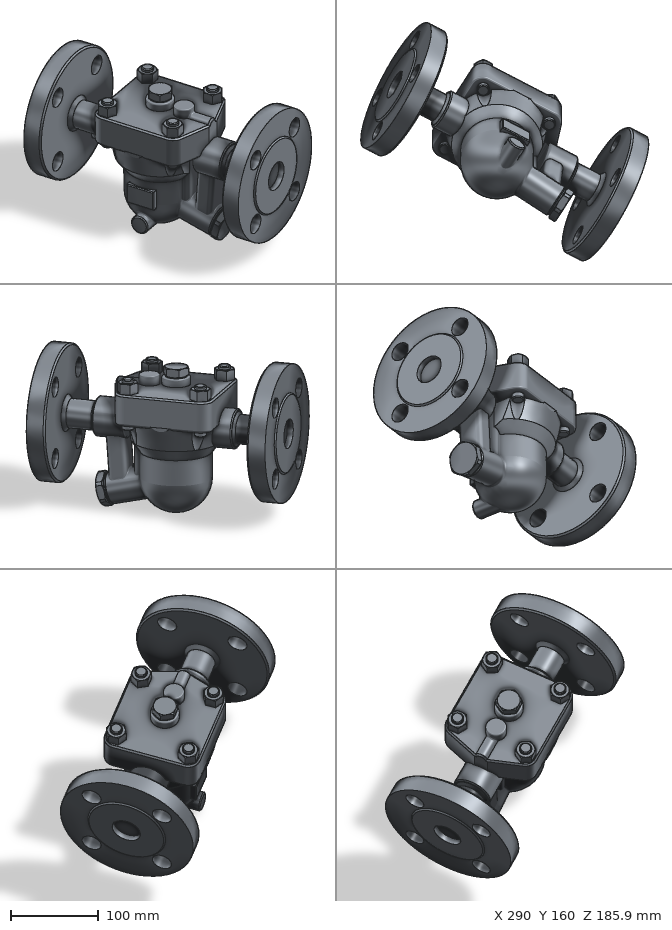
import cadquery as cq
import math


half_length = 145.0
raised_face_height = 1.7
raised_face_radius = 45.0
raised_face_base_radius = 46.7
flange_radius = 160.0 / 2
flange_inner_x = 121.0
flange_chamfer = 2.0
bolt_hole_diameter = 23.0
bolt_hole_offset = 42.3
bore_depth = 7.2

pipe_radius = 34.0 / 2
neck_radius = 21.5
neck_length = 4.4
socket_radius = 46.0 / 2
socket_end_x = 83.8
socket_chamfer = 1.5
weld_radius = 20.3
weld_length = 3.0
outlet_start_x = 46.5
outlet_round = 3.0
web_radius = 5.2
web_half_width = 19.7

axis_x = -10.2
cover_half_width = 57.5
cover_left_x = axis_x - 58.0
cover_right_x = 60.3
cover_nose_half_width = 8.5
cover_shoulder_x = 43.8
cover_corner_radius = 14.5
cover_bottom_z = 7.5
cover_top_z = 44.7
cover_top_chamfer = 2.0
cover_bottom_round = 3.0

vessel_radius = 41.5
vessel_equator_z = -63.0
cone_bottom_z = -32.5
rim_z = -18.5
rim_radius = 52.0
bowl_top_radius = 58.5
bowl_top_z = 10.2
bowl_right_x = 36.0

stud_offset = 43.5
stud_diameter = 14.0
stud_bottom_z = 1.0
stud_top_z = 61.0
stud_chamfer = 1.2
nut_width = 21.0
nut_top_z = 57.0
stud_relief_diameter = 19.7

boss_x = 21.8
boss_diameter = 24.0
boss_top_z = 56.3
boss_round = 2.0
rib_radius = 8.0
rib_top_z = 49.3
rib_chamfer = 2.0
boss_fillet = 2.5

pad_width = 36.0
pad_top_z = -42.5
pad_bottom_z = -66.7
pad_face_y = -44.0
pad_chamfer = 1.2
drain_diameter = 22.0
drain_z = -90.8
drain_face_y = -45.8
drain_chamfer = 1.5
drain_fillet = 2.5

barrel_start_z = -64.0
barrel_tilt = 14.0
barrel_diameter = 38.0
barrel_length = 81.0
cap_neck_diameter = 34.0
cap_neck_length = 1.7
cap_width = 37.5
cap_corner_diameter = 41.0
cap_thickness = 9.3
barrel_fillet = 3.5
barrel_chamfer = 1.5

leg_width = 23.0
leg_depth = 30.7
side_rib_depth = 29.0
side_rib_right_x = 36.8
rib_fillet = 1.7
leg_fillet = 2.0
leg_corner_radius = 6.0
leg_middle_x = 57.0
leg_middle_z = -44.0
leg_length = 68.5
leg_tilt = 4.0
side_rib_bottom_z = -63.8

collar_diameter = 33.0
collar_bottom_z = 47.0
collar_top_z = 56.3
collar_round = 2.0
plug_neck_diameter = 25.0
plug_hex_bottom_z = 57.5
plug_hex_top_z = 67.5
plug_hex_width = 26.0

chamfer_slope = math.tan(math.radians(30))


def upright_cylinder(x, y, bottom, top, diameter):
    """Vertical cylinder between two heights."""
    return cq.Workplane("XY", origin=(x, y, bottom)).circle(diameter / 2).extrude(top - bottom)


def hexagon(width, height, chamfer_bottom):
    """Hexagonal prism on Z = 0 with corners on X and turned 30 degree chamfers on its corners."""
    corner_radius = width / math.sqrt(3)
    drop = (corner_radius - width / 2) * chamfer_slope
    base = [(0, 0), (width / 2, 0), (corner_radius, drop)] if chamfer_bottom else [(0, 0), (corner_radius, 0)]
    outline = base + [(corner_radius, height - drop), (width / 2, height), (0, height)]
    envelope = cq.Workplane("XZ").polyline(outline).close().revolve(360, (0, 0), (0, 1))
    return cq.Workplane("XY").polygon(6, 2 * corner_radius).extrude(height).intersect(envelope)


def make_pipe_end():
    """Pipe, weld and flange at the -X end, with a blind bore and four bolt holes."""
    flange_outer_x = half_length - raised_face_height
    outline = [
        (-outlet_start_x, 0),
        (-half_length, 0),
        (-half_length, raised_face_radius),
        (-flange_outer_x, raised_face_base_radius),
        (-flange_outer_x, flange_radius),
        (-flange_inner_x - flange_chamfer, flange_radius),
        (-flange_inner_x, flange_radius - flange_chamfer),
        (-flange_inner_x, neck_radius),
        (-flange_inner_x + neck_length, pipe_radius),
        (-socket_end_x - weld_length, pipe_radius),
        (-socket_end_x, weld_radius),
        (-socket_end_x, socket_radius - socket_chamfer),
        (-socket_end_x + socket_chamfer, socket_radius),
        (-outlet_start_x, socket_radius),
    ]
    pipe_end = cq.Workplane("XZ").polyline(outline).close().revolve(360, (0, 0), (1, 0))
    bore = cq.Workplane("YZ", origin=(-half_length, 0, 0)).circle(pipe_radius).extrude(bore_depth)
    bolt_holes = (
        cq.Workplane("YZ", origin=(-half_length, 0, 0))
        .rect(2 * bolt_hole_offset, 2 * bolt_hole_offset, forConstruction=True)
        .vertices()
        .circle(bolt_hole_diameter / 2)
        .extrude(half_length - flange_inner_x)
    )
    return pipe_end.cut(bore).cut(bolt_holes)


def make_outlet():
    """Outlet side: the pipe end turned around, with a rounded inner rim."""
    outlet = make_pipe_end().rotate((0, 0, 0), (0, 0, 1), 180)
    return outlet.faces(cq.selectors.NearestToPointSelector((outlet_start_x, 0, 0))).edges().fillet(outlet_round)


def make_web():
    """Concave web rounding the corner between the cover and the outlet's inner rim."""
    web = (
        cq.Workplane("XZ", origin=(0, web_half_width, 0))
        .moveTo(outlet_start_x - web_radius, cover_bottom_z)
        .radiusArc((outlet_start_x, cover_bottom_z - web_radius), web_radius)
        .lineTo(outlet_start_x + outlet_round, cover_bottom_z - web_radius)
        .lineTo(outlet_start_x + outlet_round, cover_bottom_z + cover_bottom_round)
        .lineTo(outlet_start_x - web_radius, cover_bottom_z + cover_bottom_round)
        .close()
        .extrude(2 * web_half_width)
    )
    return web


def make_inlet():
    """Inlet side, with its socket carried on into the bowl."""
    extension = cq.Workplane("YZ", origin=(-outlet_start_x, 0, 0)).circle(socket_radius).extrude(outlet_start_x)
    return make_pipe_end().union(extension)


def cover_prism(bottom, top):
    """Five-sided cover outline with four rounded corners and a flat nose toward +X."""
    corners = [
        (cover_left_x, -cover_half_width),
        (cover_shoulder_x, -cover_half_width),
        (cover_right_x, -cover_nose_half_width),
        (cover_right_x, cover_nose_half_width),
        (cover_shoulder_x, cover_half_width),
        (cover_left_x, cover_half_width),
    ]
    prism = cq.Workplane("XY", origin=(0, 0, bottom)).polyline(corners).close().extrude(top - bottom)
    rounded = cq.selectors.BoxSelector(
        (cover_left_x - 3, -cover_half_width - 3, bottom - 3),
        (cover_shoulder_x + 3, cover_half_width + 3, top + 3),
    )
    return prism.edges("|Z").edges(rounded).fillet(cover_corner_radius)


def make_cover():
    """Cover block with a chamfered top rim and a rounded bottom rim."""
    cover = cover_prism(cover_bottom_z, cover_top_z)
    return cover.faces(">Z").edges().chamfer(cover_top_chamfer).faces("<Z").edges().fillet(cover_bottom_round)


def stud_places():
    """Stud centres and the turn of each nut, going around the vessel axis."""
    for turn in range(4):
        angle = math.radians(225 + 90 * turn)
        reach = stud_offset * math.sqrt(2)
        yield axis_x + reach * math.cos(angle), reach * math.sin(angle), 90 * turn


def make_vessel():
    """Round-bottomed vessel with a conical step and a flaring bowl under the cover, cut off flat toward +X."""
    bottom = vessel_equator_z - vessel_radius
    vessel = (
        cq.Workplane("XZ", origin=(axis_x, 0, 0))
        .moveTo(0, bottom)
        .radiusArc((vessel_radius, vessel_equator_z), -vessel_radius)
        .lineTo(vessel_radius, cone_bottom_z)
        .lineTo(rim_radius, rim_z)
        .lineTo(bowl_top_radius, bowl_top_z)
        .lineTo(0, bowl_top_z)
        .close()
        .revolve(360, (0, 0), (0, 1))
    )
    vessel = vessel.intersect(cover_prism(bottom, bowl_top_z))
    for x, y, _ in stud_places():
        vessel = vessel.cut(upright_cylinder(x, y, rim_z, bowl_top_z, stud_relief_diameter))
    return vessel.copyWorkplane(cq.Workplane("YZ", origin=(bowl_right_x, 0, 0))).split(keepBottom=True)


def make_stud(x, y, turn):
    """Stud through the cover with its hexagon nut."""
    stud = upright_cylinder(x, y, stud_bottom_z, stud_top_z, stud_diameter).faces("<Z or >Z").chamfer(stud_chamfer)
    nut = hexagon(nut_width, nut_top_z - cover_top_z, False).rotate((0, 0, 0), (0, 0, 1), turn)
    return stud.union(nut.translate((x, y, cover_top_z)))


def make_cover_boss():
    """Round boss on the cover and the half-round rib running from it to the nose."""
    boss = upright_cylinder(boss_x, 0, cover_bottom_z, boss_top_z, boss_diameter)
    boss = boss.faces(">Z").edges().fillet(boss_round)
    rib = (
        cq.Workplane("YZ", origin=(boss_x, 0, rib_top_z - rib_radius))
        .circle(rib_radius)
        .extrude(cover_right_x - boss_x)
        .faces(">X")
        .chamfer(rib_chamfer)
    )
    return boss.union(rib)


def make_pad():
    """Label pad with a chamfered front rim."""
    return (
        cq.Workplane("XY", origin=(axis_x, pad_face_y / 2, pad_bottom_z))
        .rect(pad_width, -pad_face_y)
        .extrude(pad_top_z - pad_bottom_z)
        .faces("<Y")
        .edges()
        .chamfer(pad_chamfer)
    )


def make_drain():
    """Drain boss standing out of the round bottom toward -Y."""
    return (
        cq.Workplane("XZ", origin=(axis_x, 0, drain_z))
        .circle(drain_diameter / 2)
        .extrude(-drain_face_y)
        .faces("<Y")
        .chamfer(drain_chamfer)
    )


def along_barrel(shape):
    """Turn a shape standing on Z onto the tilted barrel axis."""
    turned = shape.rotate((0, 0, 0), (0, 1, 0), 90 + barrel_tilt)
    return turned.translate((axis_x, 0, barrel_start_z))


def make_barrel():
    """Tilted strainer barrel with a chamfered end."""
    return along_barrel(upright_cylinder(0, 0, 0, barrel_length, barrel_diameter).faces(">Z").chamfer(barrel_chamfer))


def make_cap():
    """Hexagon cap on a short neck at the end of the barrel."""
    neck_end = barrel_length + cap_neck_length
    neck = upright_cylinder(0, 0, barrel_length, neck_end, cap_neck_diameter)
    head = hexagon(cap_width, cap_thickness, True)
    head = head.intersect(upright_cylinder(0, 0, 0, cap_thickness, cap_corner_diameter))
    return along_barrel(neck.union(head.translate((0, 0, neck_end))))


def rounded_block(width, depth, height):
    """Upright block with rounded vertical corners, centred at the origin."""
    return cq.Workplane("XY").box(width, depth, height).edges("|Z").fillet(leg_corner_radius)


def make_leg():
    """Slightly tilted leg between the outlet socket and the barrel."""
    leg = rounded_block(leg_width, leg_depth, leg_length).rotate((0, 0, 0), (0, 1, 0), leg_tilt)
    return leg.translate((leg_middle_x, 0, leg_middle_z))


def make_side_rib():
    """Upright rib on the vessel wall facing the leg."""
    width = side_rib_right_x - axis_x
    height = cover_bottom_z - side_rib_bottom_z
    rib = rounded_block(width, side_rib_depth, height)
    return rib.translate((axis_x + width / 2, 0, side_rib_bottom_z + height / 2))


def blend(casting, part, radius, near):
    """Join a part to the casting and fillet the seam edge closest to a point."""
    joined = casting.union(part)
    return joined.edges(cq.selectors.NearestToPointSelector(near)).fillet(radius)


def make_strainer():
    """Barrel with the leg blended onto its upper side."""
    leg_seam = (leg_middle_x, -leg_depth / 2, barrel_start_z)
    return blend(make_barrel(), make_leg(), leg_fillet, leg_seam)


def make_valve():
    """Whole trap casting with flanges, cover, studs and strainer."""
    barrel_seam = (axis_x + vessel_radius, -barrel_diameter / 2, barrel_start_z - barrel_diameter / 2)
    drain_seam = (axis_x, -vessel_radius / 2, drain_z)
    side_rib_seam = (side_rib_right_x, 0, barrel_start_z)
    boss_seam = (boss_x + boss_diameter / 2, -rib_radius, rib_top_z)

    valve = blend(make_vessel(), make_strainer(), barrel_fillet, barrel_seam)
    valve = blend(valve, make_drain(), drain_fillet, drain_seam)
    valve = blend(valve, make_side_rib(), rib_fillet, side_rib_seam)
    for part in (make_pad(), make_cap(), make_cover(), make_inlet(), make_outlet(), make_web()):
        valve = valve.union(part)
    valve = blend(valve, make_cover_boss(), boss_fillet, boss_seam)
    for x, y, turn in stud_places():
        valve = valve.union(make_stud(x, y, turn))
    return valve


def make_plug():
    """Hexagon plug with a collar, held clear above the cover."""
    collar = upright_cylinder(axis_x, 0, collar_bottom_z, collar_top_z, collar_diameter)
    collar = collar.faces(">Z").edges().fillet(collar_round)
    neck = upright_cylinder(axis_x, 0, collar_bottom_z, plug_hex_bottom_z, plug_neck_diameter)
    head = hexagon(plug_hex_width, plug_hex_top_z - plug_hex_bottom_z, True)
    return collar.union(neck).union(head.translate((axis_x, 0, plug_hex_bottom_z)))


valve = make_valve()
plug = make_plug()
result = cq.Compound.makeCompound([valve.val(), plug.val()])